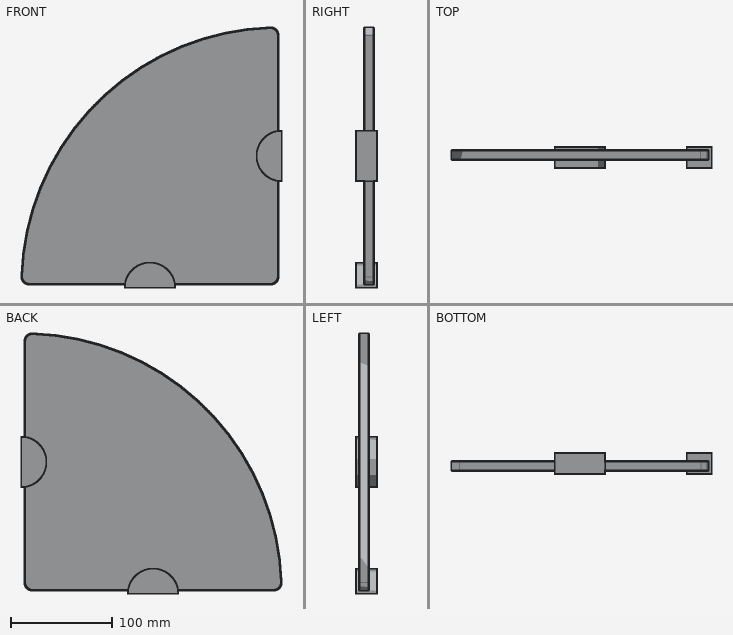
import cadquery as cq
import math

overall_side = 257.0
corner_radius = 8.0
edge_chamfer = 1.0

plate_thickness = 10.0
clip_front_depth = 8.0
clip_back_depth = 3.0

clip_radius = 25.0
clip_overhang = 3.0
clip_distance = 130.0

corner_centre_reach = overall_side - clip_overhang - corner_radius
plate_radius = corner_radius + math.hypot(corner_centre_reach, corner_radius)
arc_middle = plate_radius * math.sqrt(0.5)
clip_offset = clip_distance - clip_overhang


def make_plate():
    """Quarter disc with rounded corners and chamfered rims; front face at Y = 0."""
    return (
        cq.Workplane("XZ")
        .lineTo(-plate_radius, 0)
        .threePointArc((-arc_middle, arc_middle), (0, plate_radius))
        .close()
        .extrude(-plate_thickness)
        .edges("|Y")
        .fillet(corner_radius)
        .faces("<Y or >Y")
        .edges()
        .chamfer(edge_chamfer)
    )


def make_bottom_clip():
    """Half disc whose flat lies below the bottom edge of the plate."""
    clip_thickness = clip_front_depth + plate_thickness + clip_back_depth
    return (
        cq.Workplane("XZ", origin=(-clip_offset, -clip_front_depth, -clip_overhang))
        .moveTo(-clip_radius, 0)
        .threePointArc((0, clip_radius), (clip_radius, 0))
        .close()
        .extrude(-clip_thickness)
    )


bottom_clip = make_bottom_clip()
side_clip = bottom_clip.rotate((0, 0, 0), (0, 1, 0), -90).mirror("XY")

result = make_plate().union(bottom_clip).union(side_clip)